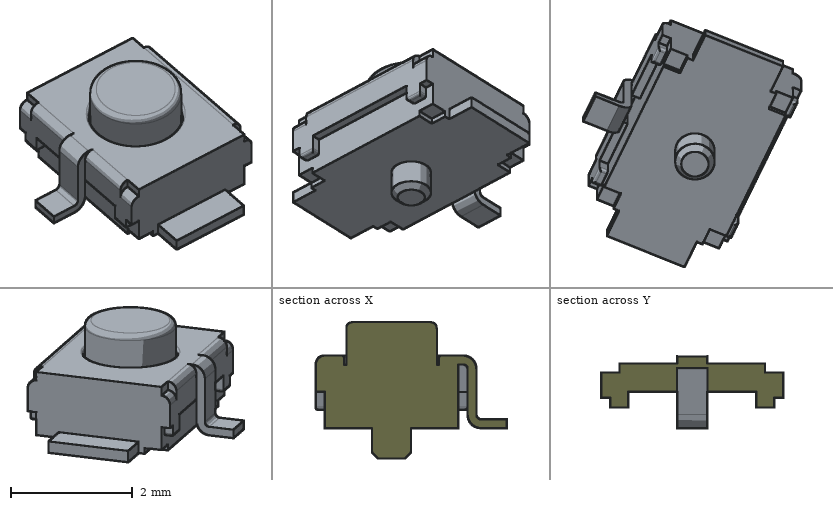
import cadquery as cq
import math

length = 3.0
core_width = 2.2
top_z = 1.2
sheet = 0.15
full_width = core_width + 2 * sheet
housing_height = top_z - sheet

corner_length = 0.3
corner_bottom = 0.5
notch_depth = 0.1
notch_width = 0.3

skirt_length = length - 2 * corner_length
skirt_bottom = 0.6
bend_radius = sheet
leg_length = 0.3
leg_center_x = skirt_length / 2
leg_bottom = 0.3
leg_edge_radius = 0.05

tab_length = 0.5
tab_inner_radius = 0.075
tab_outer_radius = tab_inner_radius + sheet
tab_reach = 1.9

terminal_span = 4.0
terminal_width = 1.4
terminal_thickness = 0.2

button_diameter = 1.5
button_top = 1.75
button_edge_radius = 0.1
opening_diameter = 1.56
opening_edge_radius = 0.035

pin_diameter = 0.65
pin_length = 0.5
pin_chamfer = 0.1

SIDES = (-1, 1)


def block(size_x, size_y, z_low, z_high, center_x=0.0, center_y=0.0):
    """Box given by its plan size, plan center and Z range."""
    box = cq.Workplane("XY").box(size_x, size_y, z_high - z_low, centered=(True, True, False))
    return box.translate((center_x, center_y, z_low))


def side_strip(size_x, z_low, z_high, side, center_x=0.0):
    """Strip one sheet thick on a +Y or -Y face, its upper edge rounded over the full thickness."""
    inner_y = side * core_width / 2
    outer_y = side * full_width / 2
    arc_z = z_high - bend_radius
    arc_offset = bend_radius * math.sqrt(0.5)
    return (
        cq.Workplane("YZ", origin=(center_x - size_x / 2, 0, 0))
        .moveTo(inner_y, z_low)
        .lineTo(outer_y, z_low)
        .lineTo(outer_y, arc_z)
        .threePointArc((inner_y + side * arc_offset, arc_z + arc_offset), (inner_y, z_high))
        .close()
        .extrude(size_x)
    )


def make_housing():
    """Housing core with a raised block and a foot notch at each corner."""
    housing = block(length, core_width, 0, housing_height)
    corner_x = (length - corner_length) / 2
    notch_y = (core_width - notch_width) / 2
    for side_x in SIDES:
        for side_y in SIDES:
            notch = block(corner_length, notch_width, 0, notch_depth, side_x * corner_x, side_y * notch_y)
            raised = side_strip(corner_length, corner_bottom, housing_height, side_y, side_x * corner_x)
            housing = housing.cut(notch).union(raised)
    return housing


def make_leg(side_x, side_y):
    """Short leg below a skirt end, with its lower edges rounded off on the exposed sides."""
    leg_y = side_y * (core_width + sheet) / 2
    leg = block(leg_length, sheet, leg_bottom, skirt_bottom, side_x * leg_center_x, leg_y)
    inner_face = "<Y" if side_y > 0 else ">Y"
    leg = leg.faces("<Z").edges(f"not {inner_face}").fillet(leg_edge_radius)
    above_corner = block(corner_length, sheet, corner_bottom, skirt_bottom,
                         side_x * (skirt_length + corner_length) / 2, leg_y)
    return leg.cut(above_corner)


def make_cover():
    """Flat cover with a skirt and two legs on each long side."""
    cover = block(length, core_width, housing_height, top_z)
    for side_y in SIDES:
        cover = cover.union(side_strip(skirt_length, skirt_bottom, top_z, side_y))
        for side_x in SIDES:
            cover = cover.union(make_leg(side_x, side_y))
    skirt_gap = block(tab_length, sheet, skirt_bottom, top_z, 0, -(core_width + sheet) / 2)
    return cover.cut(skirt_gap)


def make_tab():
    """Strip running out of the cover, down past the skirt and out again as a foot."""
    root_y = -core_width / 2
    inner_y = -full_width / 2
    outer_y = inner_y - sheet
    return (
        cq.Workplane("YZ", origin=(-tab_length / 2, 0, 0))
        .moveTo(root_y, top_z)
        .lineTo(outer_y + tab_outer_radius, top_z)
        .radiusArc((outer_y, top_z - tab_outer_radius), -tab_outer_radius)
        .lineTo(outer_y, sheet + tab_inner_radius)
        .radiusArc((outer_y - tab_inner_radius, sheet), tab_inner_radius)
        .lineTo(-tab_reach, sheet)
        .lineTo(-tab_reach, 0)
        .lineTo(inner_y - tab_outer_radius, 0)
        .radiusArc((inner_y, tab_outer_radius), -tab_outer_radius)
        .lineTo(inner_y, housing_height - tab_inner_radius)
        .radiusArc((inner_y + tab_inner_radius, housing_height), tab_inner_radius)
        .lineTo(root_y, housing_height)
        .close()
        .extrude(tab_length)
    )


def cut_opening(cover):
    """Round opening for the button with a softened upper rim."""
    hole = cq.Workplane("XY", origin=(0, 0, housing_height)).circle(opening_diameter / 2).extrude(sheet)
    return cover.cut(hole).faces(">Z").edges("%CIRCLE").fillet(opening_edge_radius)


def make_terminals():
    """Side terminals, one bar running through the base of the housing."""
    return block(terminal_span, terminal_width, 0, terminal_thickness)


def make_button():
    """Round push button with a rounded top edge, standing in the housing."""
    button = cq.Workplane("XY").circle(button_diameter / 2).extrude(button_top)
    return button.faces(">Z").edges().fillet(button_edge_radius)


def make_pin():
    """Locating pin below the housing with a chamfered tip."""
    pin = cq.Workplane("XY").circle(pin_diameter / 2).extrude(-pin_length)
    return pin.faces("<Z").edges().chamfer(pin_chamfer)


result = (
    cut_opening(make_cover().union(make_tab()))
    .union(make_housing())
    .union(make_terminals())
    .union(make_button())
    .union(make_pin())
)